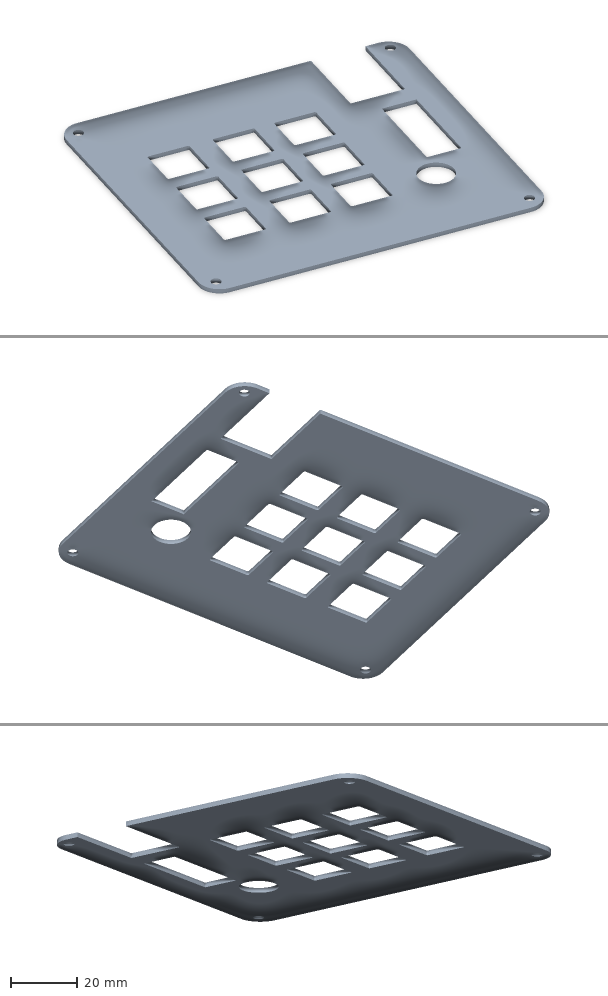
import cadquery as cq

plate_width = 103.5
plate_length = 115.4
plate_thickness = 1.5
plate_corner_radius = 7.0

screw_hole_diameter = 3.3
screw_x = 46.6
screw_y = 52.7
upper_left_screw_x = -47.6

notch_right = -24.9
notch_bottom = 28.0
notch_top = 46.4

window_left = -18.1
window_right = 12.3
window_bottom = 35.2
window_top = 46.8

knob_diameter = 12.0
knob_x = 21.7
knob_y = 33.7

key_size = 14.1
key_corner_radius = 0.5
key_column_pitch = 19.1
middle_column_left = -6.2
key_row_bottoms = (2.4, -18.2, -40.1)
middle_column_rise = 0.1


def through_block(left, right, bottom, top):
    """Rectangular cutter spanning the plate thickness."""
    size = (right - left, top - bottom, plate_thickness)
    return cq.Workplane("XY").box(*size, centered=False).translate((left, bottom, 0))


def through_cylinder(x, y, diameter):
    """Round cutter spanning the plate thickness."""
    return cq.Workplane("XY").center(x, y).circle(diameter / 2).extrude(plate_thickness)


def key_cutter(left, bottom):
    """Square key opening cutter with small rounded corners."""
    cutter = through_block(left, left + key_size, bottom, bottom + key_size)
    return cutter.edges("|Z").fillet(key_corner_radius)


result = (
    cq.Workplane("XY")
    .box(plate_width, plate_length, plate_thickness, centered=(True, True, False))
    .edges("|Z")
    .fillet(plate_corner_radius)
)

result = result.cut(through_block(-plate_width / 2, notch_right, notch_bottom, notch_top))
result = result.cut(through_block(window_left, window_right, window_bottom, window_top))
result = result.cut(through_cylinder(knob_x, knob_y, knob_diameter))

screw_centres = (
    (upper_left_screw_x, screw_y),
    (screw_x, screw_y),
    (-screw_x, -screw_y),
    (screw_x, -screw_y),
)
for x, y in screw_centres:
    result = result.cut(through_cylinder(x, y, screw_hole_diameter))

key_columns = (
    (middle_column_left - key_column_pitch, 0),
    (middle_column_left, middle_column_rise),
    (middle_column_left + key_column_pitch, 0),
)
for left, rise in key_columns:
    for bottom in key_row_bottoms:
        result = result.cut(key_cutter(left, bottom + rise))